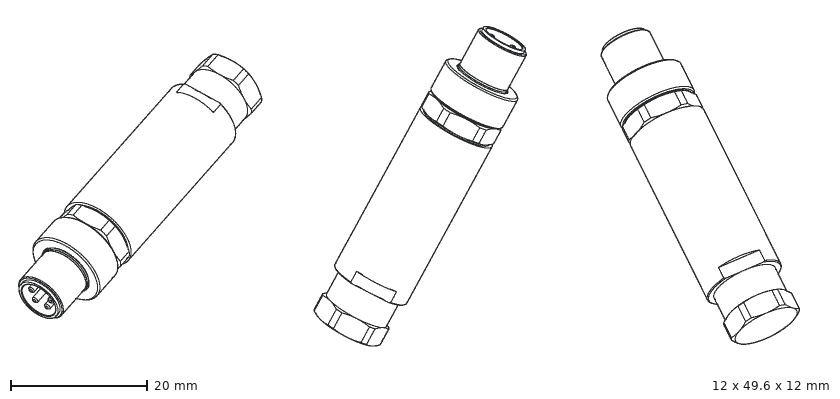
import cadquery as cq
import math

total_length = 49.6
tip_length = 0.5
coupling_front = 6.9
coupling_back = 12.0
nut_front = 12.15
nut_back = 14.95
body_front = 15.15
body_back = 42.1
wrench_flat_length = 2.0
cap_nut_length = 3.15
cap_nut_front = total_length - cap_nut_length

body_diameter = 12.0
coupling_diameter = 12.0
neck_diameter = 10.0
plug_diameter = 8.0
tip_diameter = 7.0
bore_diameter = 6.0
recess_diameter = 8.45
plug_band_diameter = 8.05

cap_nut_flats = 10.0
cap_nut_diameter = 11.0
nut_flats = 10.95
nut_diameter = 12.0
hex_chamfer_length = 0.25

body_chamfer = 0.15
coupling_chamfer = 0.25
plug_chamfer = 0.15
bore_chamfer = 0.1

recess_depth = 0.25
plug_band_gap = 0.15
plug_band_width = 0.3

bore_depth = 4.95
pin_diameter = 1.0
pin_recess = 0.5
pin_chamfer = 0.2
upper_pin_x = 1.75
upper_pin_z = 0.5
lower_pin_x = 1.1
lower_pin_z = -1.45


def cylinder(diameter, y_start, y_end):
    """Solid cylinder on the Y axis between two stations."""
    plane = cq.Workplane("XZ", origin=(0, y_start, 0))
    return plane.circle(diameter / 2).extrude(y_start - y_end)


def cone(y_start, radius_start, y_end, radius_end):
    """Solid frustum on the Y axis."""
    profile = cq.Workplane("XY").polyline(
        [(0, y_start), (radius_start, y_start), (radius_end, y_end), (0, y_end)]
    )
    return profile.close().revolve(360, (0, 0, 0), (0, 1, 0))


def rounded_hexagon(flats, diameter, y_start, y_end):
    """Hexagon with flats facing +Z and -Z, corners turned round and both ends coned."""
    corner_diameter = 2 / math.sqrt(3) * flats
    plane = cq.Workplane("XZ", origin=(0, y_start, 0))
    prism = plane.polygon(6, corner_diameter).extrude(y_start - y_end)
    cone_front = y_start + hex_chamfer_length
    cone_back = y_end - hex_chamfer_length
    envelope = cone(y_start, flats / 2, cone_front, diameter / 2)
    envelope = envelope.union(cylinder(diameter, cone_front, cone_back))
    envelope = envelope.union(cone(cone_back, diameter / 2, y_end, flats / 2))
    return prism.intersect(envelope)


body = cylinder(body_diameter, body_front, body_back)
body = body.faces(">Y").chamfer(body_chamfer)
flat_center_y = body_back - wrench_flat_length / 2
flat_slab = cq.Workplane("XY").box(body_diameter, wrench_flat_length, body_diameter)
flat_core = cq.Workplane("XY").box(body_diameter, wrench_flat_length, neck_diameter)
body = body.cut(flat_slab.cut(flat_core).translate((0, flat_center_y, 0)))

neck = cylinder(neck_diameter, body_back, cap_nut_front)
cap_nut = rounded_hexagon(cap_nut_flats, cap_nut_diameter, cap_nut_front, total_length)

nut = rounded_hexagon(nut_flats, nut_diameter, nut_front, nut_back)
spigot = cylinder(nut_flats, coupling_back, body_front)

coupling = cylinder(coupling_diameter, coupling_front, coupling_back)
coupling = coupling.faces("<Y or >Y").chamfer(coupling_chamfer)
recess_floor = coupling_front + recess_depth
coupling = coupling.cut(cylinder(recess_diameter, coupling_front, recess_floor))

plug = cylinder(plug_diameter, tip_length, recess_floor)
plug = plug.faces("<Y").chamfer(plug_chamfer)
tip = cylinder(tip_diameter, 0, tip_length)
band_back = coupling_front - plug_band_gap
plug_band = cylinder(plug_band_diameter, band_back - plug_band_width, band_back)

result = body.union(neck).union(cap_nut).union(spigot).union(nut)
result = result.union(coupling).union(plug).union(plug_band).union(tip)

mouth = cone(0, bore_diameter / 2 + bore_chamfer, bore_chamfer, bore_diameter / 2)
result = result.cut(cylinder(bore_diameter, 0, bore_depth)).cut(mouth)

pin_positions = [
    (side * x, z)
    for side in (-1, 1)
    for x, z in ((upper_pin_x, upper_pin_z), (lower_pin_x, lower_pin_z))
]
pin = cylinder(pin_diameter, pin_recess, bore_depth)
pin = pin.faces("<Y").chamfer(pin_chamfer)
for x, z in pin_positions:
    result = result.union(pin.translate((x, 0, z)))